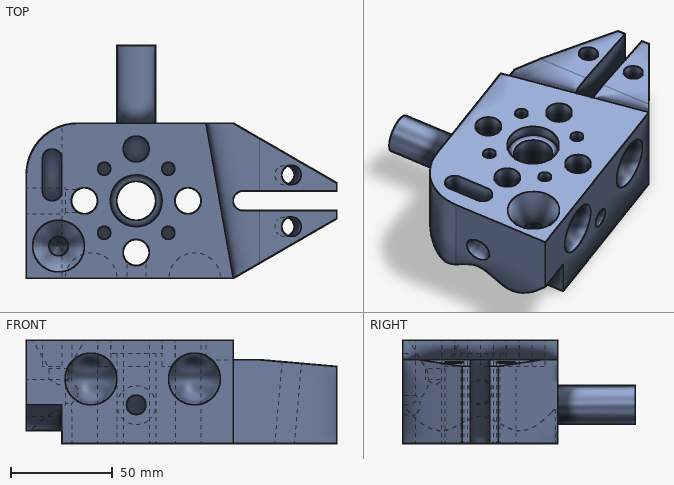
import cadquery as cq
import math

INCH = 25.4

LENGTH = 6.0 * INCH
DEPTH = 3.0 * INCH
HEIGHT = 2.0 * INCH
BODY_LENGTH = 4.0 * INCH
CORNER_RADIUS = 1.0 * INCH
MID_Y = DEPTH / 2

NOSE_TAPER_ANGLE = 30.0
NOSE_HEIGHT = 1.625 * INCH
SHOULDER_SKEW_ANGLE = 10.0
RAMP_START_X = 4.5 * INCH
RAMP_ANGLE = 5.0
NOSE_SLOT_WIDTH = 0.375 * INCH
PRONG_HOLE_DIAMETER = 0.375 * INCH
PRONG_HOLE_X = 5.125 * INCH
PRONG_HOLE_OFFSET = 0.5 * INCH

PIN_DIAMETER = 0.75 * INCH
PIN_LENGTH = 1.5 * INCH
PIN_Z = 0.75 * INCH

PATTERN_X = 2.125 * INCH
BORE_DIAMETER = 0.75 * INCH
COUNTERBORE_DIAMETER = 1.0 * INCH
COUNTERBORE_DEPTH = 0.25 * INCH
LARGE_HOLE_DIAMETER = 0.5 * INCH
LARGE_HOLE_RADIUS = 1.0 * INCH
BLIND_LARGE_HOLE_DEPTH = 0.5 * INCH
SMALL_HOLE_DIAMETER = 0.25 * INCH
SMALL_HOLE_RADIUS = 0.875 * INCH
SMALL_HOLE_DEPTH = 0.5 * INCH

TOP_SLOT_X = 0.5 * INCH
TOP_SLOT_Y = 2.0 * INCH
TOP_SLOT_LENGTH = 1.0 * INCH
TOP_SLOT_WIDTH = 0.375 * INCH
TOP_SLOT_DEPTH = 0.5 * INCH

COUNTERSINK_X = 0.625 * INCH
COUNTERSINK_Y = 0.625 * INCH
COUNTERSINK_DIAMETER = 1.0 * INCH
COUNTERSINK_ANGLE = 60.0
PILOT_DIAMETER = 0.375 * INCH
PILOT_DEPTH = 0.75 * INCH
PILOT_TIP_ANGLE = 118.0

SPHERE_DIAMETER = 1.0 * INCH
SPHERE_X_POSITIONS = (1.25 * INCH, 3.25 * INCH)
SPHERE_Z = 1.25 * INCH
FRONT_HOLE_DIAMETER = 0.375 * INCH
FRONT_HOLE_Z = 0.75 * INCH

SIDE_HOLE_DIAMETER = 0.5 * INCH
SIDE_HOLE_DEPTH = 0.75 * INCH
SIDE_HOLE_INNER_DIAMETER = 0.4375 * INCH
SIDE_HOLE_Z = 1.0 * INCH

UNDERCUT_LENGTH = 0.6875 * INCH
UNDERCUT_EDGE_Z = 0.75 * INCH
LOBE_Z = 0.25 * INCH
LOBE_OFFSET = 0.75 * INCH
CREST_Z = 0.533 * INCH
UNDERCUT_EDGE_ANGLE = 50.0

CLEARANCE = 1.0 * INCH


def vertical_drill(x, y, diameter, depth):
    """Flat-bottomed cylinder sunk from the top face."""
    return cq.Workplane("XY", origin=(x, y, HEIGHT - depth)).circle(diameter / 2).extrude(depth)


def make_block():
    taper_drop = (LENGTH - BODY_LENGTH) * math.tan(math.radians(NOSE_TAPER_ANGLE))
    block = (
        cq.Workplane("XY")
        .moveTo(0, 0)
        .lineTo(BODY_LENGTH, 0)
        .lineTo(LENGTH, taper_drop)
        .lineTo(LENGTH, DEPTH - taper_drop)
        .lineTo(BODY_LENGTH, DEPTH)
        .lineTo(0, DEPTH)
        .close()
        .extrude(HEIGHT)
    )
    return block.edges("|Z and <X and >Y").fillet(CORNER_RADIUS)


def make_shoulder_cut():
    """Material above the nose, beyond the skewed shoulder."""
    skew = math.tan(math.radians(SHOULDER_SKEW_ANGLE))
    return (
        cq.Workplane("XY", origin=(0, 0, NOSE_HEIGHT))
        .moveTo(BODY_LENGTH, 0)
        .lineTo(LENGTH, 0)
        .lineTo(LENGTH, DEPTH)
        .lineTo(BODY_LENGTH - DEPTH * skew, DEPTH)
        .close()
        .extrude(HEIGHT - NOSE_HEIGHT)
    )


def make_ramp_cut():
    """Wedge that slopes the nose top down toward the tip."""
    drop = (LENGTH - RAMP_START_X) * math.tan(math.radians(RAMP_ANGLE))
    return (
        cq.Workplane("XZ")
        .moveTo(RAMP_START_X, NOSE_HEIGHT)
        .lineTo(LENGTH, NOSE_HEIGHT)
        .lineTo(LENGTH, NOSE_HEIGHT - drop)
        .close()
        .extrude(-DEPTH)
    )


def make_nose_slot():
    """Full-height slot between the prongs, with a round inner end at the nose root."""
    radius = NOSE_SLOT_WIDTH / 2
    round_end_x = BODY_LENGTH + radius
    return (
        cq.Workplane("XY")
        .moveTo(LENGTH, MID_Y - radius)
        .lineTo(round_end_x, MID_Y - radius)
        .threePointArc((BODY_LENGTH, MID_Y), (round_end_x, MID_Y + radius))
        .lineTo(LENGTH, MID_Y + radius)
        .close()
        .extrude(HEIGHT)
    )


def make_prong_holes():
    """Through holes square to the ramp, one in each prong."""
    slope = math.radians(RAMP_ANGLE)
    top_z = NOSE_HEIGHT - (PRONG_HOLE_X - RAMP_START_X) * math.tan(slope)
    axis = cq.Vector(math.sin(slope), 0, math.cos(slope))
    holes = cq.Workplane("XY")
    for offset in (-PRONG_HOLE_OFFSET, PRONG_HOLE_OFFSET):
        entry = cq.Vector(PRONG_HOLE_X, MID_Y + offset, top_z)
        start = entry - axis * HEIGHT
        hole = cq.Solid.makeCylinder(PRONG_HOLE_DIAMETER / 2, HEIGHT + CLEARANCE, start, axis)
        holes = holes.add(hole)
    return holes.combine()


def make_pin():
    return (
        cq.Workplane("XZ", origin=(PATTERN_X, DEPTH, PIN_Z))
        .circle(PIN_DIAMETER / 2)
        .extrude(-PIN_LENGTH)
    )


def cut_hole_pattern(part):
    """Counterbored bore ringed by four large and four small holes."""
    part = part.cut(vertical_drill(PATTERN_X, MID_Y, BORE_DIAMETER, HEIGHT))
    part = part.cut(vertical_drill(PATTERN_X, MID_Y, COUNTERBORE_DIAMETER, COUNTERBORE_DEPTH))
    for quarter in range(4):
        angle = math.radians(90 * quarter)
        x = PATTERN_X + LARGE_HOLE_RADIUS * math.cos(angle)
        y = MID_Y + LARGE_HOLE_RADIUS * math.sin(angle)
        depth = BLIND_LARGE_HOLE_DEPTH if quarter == 1 else HEIGHT
        part = part.cut(vertical_drill(x, y, LARGE_HOLE_DIAMETER, depth))

        diagonal = angle + math.pi / 4
        x = PATTERN_X + SMALL_HOLE_RADIUS * math.cos(diagonal)
        y = MID_Y + SMALL_HOLE_RADIUS * math.sin(diagonal)
        part = part.cut(vertical_drill(x, y, SMALL_HOLE_DIAMETER, SMALL_HOLE_DEPTH))
    return part


def make_top_slot():
    return (
        cq.Workplane("XY", origin=(TOP_SLOT_X, TOP_SLOT_Y, HEIGHT))
        .slot2D(TOP_SLOT_LENGTH, TOP_SLOT_WIDTH, 90)
        .extrude(-TOP_SLOT_DEPTH)
    )


def make_countersink():
    """Countersink, pilot hole and drill point as one revolved profile."""
    top_radius = COUNTERSINK_DIAMETER / 2
    pilot_radius = PILOT_DIAMETER / 2
    cone_depth = (top_radius - pilot_radius) / math.tan(math.radians(COUNTERSINK_ANGLE / 2))
    tip_depth = pilot_radius / math.tan(math.radians(PILOT_TIP_ANGLE / 2))
    return (
        cq.Workplane("XZ", origin=(COUNTERSINK_X, COUNTERSINK_Y, HEIGHT))
        .moveTo(0, 0)
        .lineTo(top_radius, 0)
        .lineTo(pilot_radius, -cone_depth)
        .lineTo(pilot_radius, -PILOT_DEPTH)
        .lineTo(0, -PILOT_DEPTH - tip_depth)
        .close()
        .revolve(360, (0, 0, 0), (0, 1, 0))
    )


def cut_front_face(part):
    """Hemispherical pockets, and a cross hole that opens into the front large hole."""
    for x in SPHERE_X_POSITIONS:
        part = part.cut(cq.Workplane("XY", origin=(x, 0, SPHERE_Z)).sphere(SPHERE_DIAMETER / 2))
    hole = (
        cq.Workplane("XZ", origin=(PATTERN_X, 0, FRONT_HOLE_Z))
        .circle(FRONT_HOLE_DIAMETER / 2)
        .extrude(-(MID_Y - LARGE_HOLE_RADIUS))
    )
    return part.cut(hole)


def cut_side_hole(part):
    """Stepped cross hole from the -X face that ends in the nearest large hole."""
    face_center = cq.Workplane("YZ", origin=(0, MID_Y, SIDE_HOLE_Z))
    part = part.cut(face_center.circle(SIDE_HOLE_DIAMETER / 2).extrude(SIDE_HOLE_DEPTH))
    inner_length = PATTERN_X - LARGE_HOLE_RADIUS
    return part.cut(face_center.circle(SIDE_HOLE_INNER_DIAMETER / 2).extrude(inner_length))


def make_undercut():
    """Smooth wave, level at its lobes and crest, cut up from the bottom below the -X end."""
    edge_slope = math.tan(math.radians(UNDERCUT_EDGE_ANGLE))
    wave = [
        (0, UNDERCUT_EDGE_Z, -edge_slope),
        (MID_Y - LOBE_OFFSET, LOBE_Z, 0),
        (MID_Y, CREST_Z, 0),
        (MID_Y + LOBE_OFFSET, LOBE_Z, 0),
        (DEPTH, UNDERCUT_EDGE_Z, edge_slope),
    ]
    return (
        cq.Workplane("YZ")
        .spline(
            [(y, z) for y, z, slope in wave],
            tangents=[(1, slope) for y, z, slope in wave],
            parameters=[y for y, z, slope in wave],
            scale=False,
        )
        .lineTo(DEPTH, 0)
        .lineTo(0, 0)
        .close()
        .extrude(UNDERCUT_LENGTH)
    )


part = make_block()
part = part.cut(make_shoulder_cut())
part = part.cut(make_ramp_cut())
part = part.cut(make_nose_slot())
part = part.cut(make_prong_holes())
part = part.union(make_pin())
part = cut_hole_pattern(part)
part = part.cut(make_top_slot())
part = part.cut(make_countersink())
part = cut_front_face(part)
part = cut_side_hole(part)
part = part.cut(make_undercut())

result = part